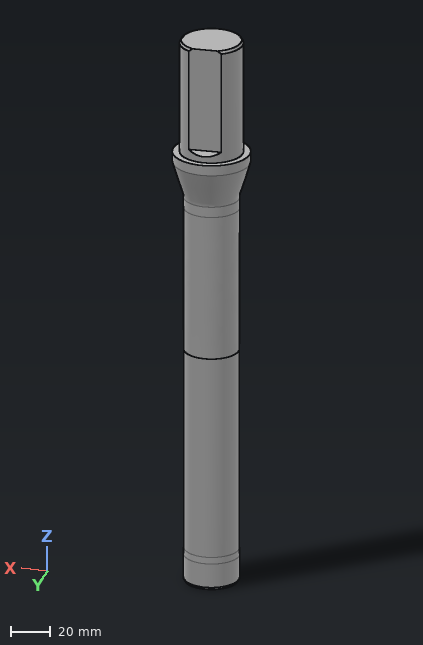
import cadquery as cq

LENGTH = 292.0
FLANGE_TOP = 231.8
FLANGE_BOTTOM = 226.5
COLLAR_TOP = 207.3
COLLAR_BOTTOM = 201.8
JOINT = 125.0
HEAD_TAPER_TOP = 17.8
HEAD_TOP = 14.3

SHANK_DIAMETER = 32.0
FLANGE_DIAMETER = 39.5
COLLAR_DIAMETER = 28.3
BAR_DIAMETER = 28.0
HEAD_DIAMETER = 28.3

FLARE_FOOT = (COLLAR_DIAMETER / 2 + 0.3, COLLAR_TOP + 2.3)
FLARE_MIDDLE = (17.5, 218.7)
UPWARD = (0, 1)
FLARE_END_DIRECTION = (0.2, 1)

SHANK_CHAMFER_WIDTH = 1.0
SHANK_CHAMFER_HEIGHT = 1.5
HEAD_CHAMFER_WIDTH = 1.0
HEAD_CHAMFER_HEIGHT = 1.5
FLAT_DISTANCE = 13.7
FLAT_END = 235.0


def make_holder():
    """Shank, flange, flare, collar and the tapered upper length of the bar."""
    shank_radius = SHANK_DIAMETER / 2
    flange_radius = FLANGE_DIAMETER / 2
    collar_radius = COLLAR_DIAMETER / 2
    flare_points = [FLARE_FOOT, FLARE_MIDDLE, (flange_radius, FLANGE_BOTTOM)]
    profile = (
        cq.Workplane("XZ")
        .moveTo(0, JOINT)
        .lineTo(BAR_DIAMETER / 2, JOINT)
        .lineTo(collar_radius, COLLAR_BOTTOM)
        .lineTo(collar_radius, COLLAR_TOP)
        .spline(flare_points, tangents=[UPWARD, FLARE_END_DIRECTION], includeCurrent=True)
        .lineTo(flange_radius, FLANGE_TOP)
        .lineTo(shank_radius, FLANGE_TOP)
        .lineTo(shank_radius, LENGTH - SHANK_CHAMFER_HEIGHT)
        .lineTo(shank_radius - SHANK_CHAMFER_WIDTH, LENGTH)
        .lineTo(0, LENGTH)
        .close()
    )
    holder = profile.revolve(360, (0, 0, 0), (0, 1, 0))
    return holder.cut(make_flat_cutter())


def make_flat_cutter():
    """Material removed for the shank flat, whose lower end runs out at 45 degrees."""
    shank_radius = SHANK_DIAMETER / 2
    flat_depth = shank_radius - FLAT_DISTANCE
    return (
        cq.Workplane("YZ")
        .moveTo(FLAT_DISTANCE, LENGTH)
        .lineTo(FLAT_DISTANCE, FLAT_END + flat_depth)
        .lineTo(shank_radius, FLAT_END)
        .lineTo(shank_radius, LENGTH)
        .close()
        .extrude(shank_radius, both=True)
    )


def make_bar():
    """Plain lower bar with a slightly larger, chamfered head at its end."""
    bar_radius = BAR_DIAMETER / 2
    head_radius = HEAD_DIAMETER / 2
    return (
        cq.Workplane("XZ")
        .lineTo(head_radius - HEAD_CHAMFER_WIDTH, 0)
        .lineTo(head_radius, HEAD_CHAMFER_HEIGHT)
        .lineTo(head_radius, HEAD_TOP)
        .lineTo(bar_radius, HEAD_TAPER_TOP)
        .lineTo(bar_radius, JOINT)
        .lineTo(0, JOINT)
        .close()
        .revolve(360, (0, 0, 0), (0, 1, 0))
    )


holder = make_holder()
bar = make_bar()
result = cq.Compound.makeCompound([holder.val(), bar.val()])